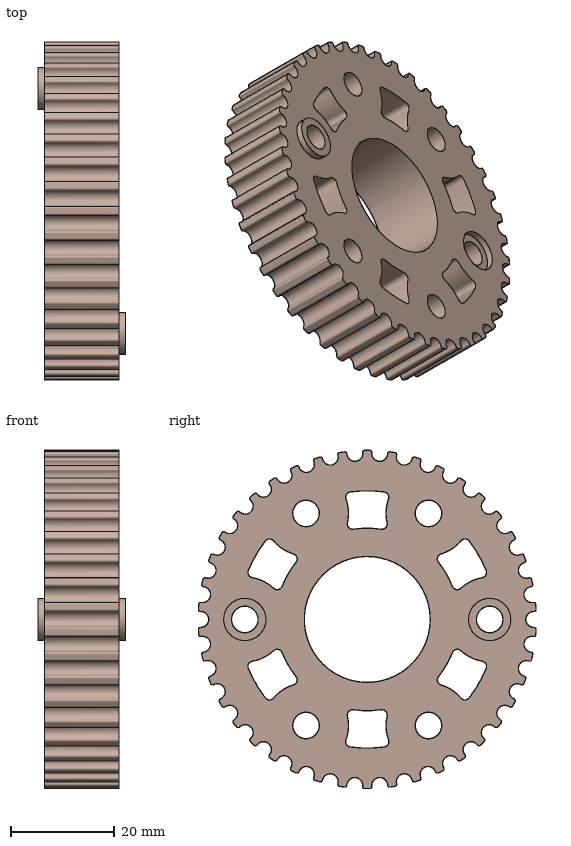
import math

import cadquery as cq

TOOTH_COUNT = 42
OUTER_RADIUS = 65.72 / 2
GROOVE_DEPTH = 2.06
GROOVE_RADIUS = 1.52
TIP_FILLET = 0.43
FACE_WIDTH = 14.49

BORE_RADIUS = 12.2
HOLE_COUNT = 6
HOLE_RADIUS = 2.55
HOLE_CIRCLE_RADIUS = 23.77

BOSS_RADIUS = 4.1
BOSS_HEIGHT = 1.27
RECESS_DEPTH = BOSS_HEIGHT

WINDOW_INNER_RADIUS = 17.75
WINDOW_OUTER_RADIUS = 24.95
HOLE_LAND_RADIUS = 8.27
WINDOW_FILLET = 1.0

HALF_WIDTH = FACE_WIDTH / 2
TOOTH_PITCH = 2 * math.pi / TOOTH_COUNT


def polar(radius, angle):
    """Point in the YZ plane, with the angle measured from +Y toward +Z."""
    return (radius * math.cos(angle), radius * math.sin(angle))


def point_between(start, end, distance):
    """Point at a distance from start, on the line toward end."""
    share = distance / math.dist(start, end)
    return tuple(a + (b - a) * share for a, b in zip(start, end))


def disc(radius, center, x_start, x_end):
    """Cylinder along X around a center given in the YZ plane."""
    return cq.Workplane("YZ", origin=(x_start, 0, 0)).center(*center).circle(radius).extrude(x_end - x_start)


def toothed_blank():
    """Pulley body: round grooves joined to the tooth tips by tangent fillets."""
    root_radius = OUTER_RADIUS - GROOVE_DEPTH
    groove_center_radius = root_radius + GROOVE_RADIUS
    fillet_center_radius = OUTER_RADIUS - TIP_FILLET
    center_distance = GROOVE_RADIUS + TIP_FILLET
    fillet_angle = math.acos(
        (groove_center_radius**2 + fillet_center_radius**2 - center_distance**2)
        / (2 * groove_center_radius * fillet_center_radius)
    )

    def fillet_points(groove_angle, side):
        """Tangent point on the groove, middle of the fillet, tangent point on the tip."""
        groove_center = polar(groove_center_radius, groove_angle)
        fillet_center = polar(fillet_center_radius, groove_angle + side * fillet_angle)
        on_groove = point_between(groove_center, fillet_center, GROOVE_RADIUS)
        on_tip = polar(OUTER_RADIUS, groove_angle + side * fillet_angle)
        chord_middle = point_between(on_groove, on_tip, math.dist(on_groove, on_tip) / 2)
        middle = point_between(fillet_center, chord_middle, TIP_FILLET)
        return on_groove, middle, on_tip

    outline = cq.Workplane("YZ", origin=(-HALF_WIDTH, 0, 0)).moveTo(*fillet_points(0, -1)[2])
    for index in range(TOOTH_COUNT):
        groove_angle = index * TOOTH_PITCH
        groove_start, entry_middle, _ = fillet_points(groove_angle, -1)
        groove_end, exit_middle, tip_start = fillet_points(groove_angle, 1)
        tip_middle = polar(OUTER_RADIUS, groove_angle + TOOTH_PITCH / 2)
        tip_end = polar(OUTER_RADIUS, groove_angle + TOOTH_PITCH - fillet_angle)
        outline = (
            outline.threePointArc(entry_middle, groove_start)
            .threePointArc(polar(root_radius, groove_angle), groove_end)
            .threePointArc(exit_middle, tip_start)
            .threePointArc(tip_middle, tip_end)
        )
    return outline.close().extrude(FACE_WIDTH)


def lightening_windows(hole_centers):
    """Ring split into separate windows by the round land kept around each bolt hole."""
    windows = (
        cq.Workplane("YZ", origin=(-HALF_WIDTH, 0, 0))
        .circle(WINDOW_OUTER_RADIUS)
        .circle(WINDOW_INNER_RADIUS)
        .extrude(FACE_WIDTH)
    )
    for center in hole_centers:
        windows = windows.cut(disc(HOLE_LAND_RADIUS, center, -HALF_WIDTH, HALF_WIDTH))
    return windows.edges("|X").fillet(WINDOW_FILLET)


def add_locators(body):
    """On each face, one boss and one recess, on opposite sides of the axis."""
    for face in (-1, 1):
        face_x = face * HALF_WIDTH
        boss_center = (-face * HOLE_CIRCLE_RADIUS, 0)
        recess_center = (face * HOLE_CIRCLE_RADIUS, 0)
        body = body.union(disc(BOSS_RADIUS, boss_center, face_x, face_x + face * BOSS_HEIGHT))
        body = body.cut(disc(BOSS_RADIUS, recess_center, face_x, face_x - face * RECESS_DEPTH))
    return body


def cut_holes(body, hole_centers):
    """Bore and bolt holes, right through the body and its bosses."""
    end_x = HALF_WIDTH + BOSS_HEIGHT
    body = body.cut(disc(BORE_RADIUS, (0, 0), -end_x, end_x))
    for center in hole_centers:
        body = body.cut(disc(HOLE_RADIUS, center, -end_x, end_x))
    return body


bolt_centers = [polar(HOLE_CIRCLE_RADIUS, 2 * math.pi * index / HOLE_COUNT) for index in range(HOLE_COUNT)]
pulley = toothed_blank().cut(lightening_windows(bolt_centers))
pulley = add_locators(pulley)
result = cut_holes(pulley, bolt_centers)